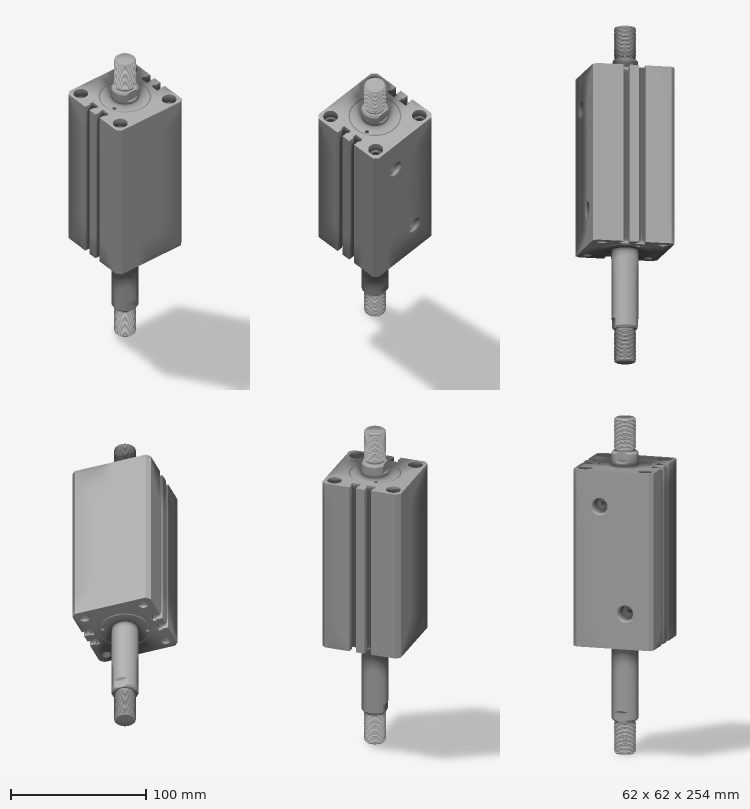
import cadquery as cq


housing_side = 62.0
housing_length = 134.0
corner_chamfer = 3.0
bore_radius = 19.0
bore_mouth_chamfer = 0.6

bolt_offset = 23.25
bolt_hole_diameter = 6.9
counterbore_diameter = 11.0
counterbore_depth = 7.0

slot_offset = 6.0
slot_neck_width = 5.0
slot_neck_depth = 4.8
slot_foot_width = 7.0
slot_depth = 8.0

port_side_offset = 10.0
port_end_distance = 27.0
port_mouth_radius = 6.5
port_chamfer = 0.7
port_start_radius = port_mouth_radius - port_chamfer
port_end_radius = 5.2
port_depth = 10.0
port_passage_diameter = 4.0

stroke = 50.0
gland_length = 24.0
gland_rim_chamfer = 0.6
spanner_hole_diameter = 3.0
spanner_hole_depth = 4.0
spanner_hole_radius = 16.6
spanner_hole_angle = 113.0

piston_length = housing_length - 2 * gland_length - stroke
piston_chamfer = 3.0
piston_bottom = gland_length
piston_middle = piston_bottom + piston_length / 2

rod_radius = 10.0
upper_rod_reach = 10.0
rod_length = housing_length + upper_rod_reach - piston_bottom - piston_length
shoulder_chamfer_radial = 1.3
shoulder_chamfer_height = 1.5
across_flats = 17.0
flat_length = 7.0

thread_radius = 8.0
thread_pitch = 1.0
thread_depth = 0.6
thread_crest = thread_pitch / 4
thread_root = thread_pitch / 8
thread_flank = (thread_pitch - thread_crest - thread_root) / 2
thread_root_radius = thread_radius - thread_depth
thread_end_length = 25.0
thread_turns = 22
thread_tip_chamfer = 1.0
undercut_radius = 7.1
thread_length = thread_turns * thread_pitch + thread_flank + thread_tip_chamfer
undercut_length = thread_end_length - thread_length


def slot_cutter(side):
    """T-slot running the full height in the +Y (side = 1) or -Y (side = -1) face."""
    face = side * housing_side / 2
    neck_end = face - side * slot_neck_depth
    foot_end = face - side * slot_depth
    neck = slot_neck_width / 2
    foot = slot_foot_width / 2
    outline = [
        (-neck, face),
        (-neck, neck_end),
        (-foot, neck_end),
        (-foot, foot_end),
        (foot, foot_end),
        (foot, neck_end),
        (neck, neck_end),
        (neck, face),
    ]
    return cq.Workplane("XY").polyline(outline).close().extrude(housing_length)


def port_cutter(y, z):
    """Tapered port with a chamfered mouth in the -X face and a passage into the bore."""
    profile = [
        (0, 0),
        (port_mouth_radius, 0),
        (port_start_radius, port_chamfer),
        (port_end_radius, port_depth),
        (0, port_depth),
    ]
    port_plane = cq.Plane(origin=(-housing_side / 2, y, z), xDir=(0, 0, 1), normal=(0, 1, 0))
    taper = cq.Workplane(port_plane).polyline(profile).close().revolve(360, (0, 0), (0, 1))
    passage_plane = cq.Plane(origin=(-housing_side / 2, y, z), xDir=(0, 1, 0), normal=(1, 0, 0))
    passage = cq.Workplane(passage_plane).circle(port_passage_diameter / 2).extrude(housing_side / 2)
    return taper.union(passage)


def make_housing():
    body = cq.Workplane("XY").rect(housing_side, housing_side).extrude(housing_length)
    body = body.edges("|Z").chamfer(corner_chamfer)
    body = (
        body.faces(">Z")
        .workplane()
        .rect(2 * bolt_offset, 2 * bolt_offset, forConstruction=True)
        .vertices()
        .cboreHole(bolt_hole_diameter, counterbore_diameter, counterbore_depth)
    )
    body = body.cut(cq.Workplane("XY").circle(bore_radius).extrude(housing_length))
    bore_rim = cq.selectors.RadiusNthSelector(-1)
    body = body.faces(">Z or <Z").edges(bore_rim).chamfer(bore_mouth_chamfer)
    for side in (-1, 1):
        for x in (-slot_offset, slot_offset):
            body = body.cut(slot_cutter(side).translate((x, 0, 0)))
    body = body.cut(port_cutter(-port_side_offset, port_end_distance))
    return body.cut(port_cutter(port_side_offset, housing_length - port_end_distance))


def make_gland():
    """Upper gland, its outer face flush with the top of the housing."""
    body = (
        cq.Workplane("XY")
        .workplane(offset=housing_length)
        .circle(bore_radius)
        .extrude(-gland_length)
        .faces(">Z")
        .chamfer(gland_rim_chamfer)
    )
    body = body.faces(">Z").workplane().circle(rod_radius).cutThruAll()
    return (
        body.faces(">Z")
        .workplane(origin=(0, 0, housing_length))
        .polarArray(spanner_hole_radius, spanner_hole_angle, 360, 2)
        .hole(spanner_hole_diameter, spanner_hole_depth)
    )


def make_piston():
    return (
        cq.Workplane("XY")
        .workplane(offset=piston_bottom)
        .circle(bore_radius)
        .extrude(piston_length)
        .edges()
        .chamfer(piston_chamfer)
    )


def rod_profile():
    """Half section of a rod as (radius, height) points; height 0 lies on the piston face."""
    tip = rod_length + thread_end_length
    thread_start = rod_length + undercut_length
    points = [
        (0, 0),
        (rod_radius, 0),
        (rod_radius, rod_length - shoulder_chamfer_height),
        (rod_radius - shoulder_chamfer_radial, rod_length),
        (undercut_radius, rod_length),
        (undercut_radius, thread_start),
    ]
    for turn in range(thread_turns):
        crest_start = thread_start + turn * thread_pitch
        crest_end = crest_start + thread_crest
        root_start = crest_end + thread_flank
        root_end = root_start + thread_root
        points += [
            (thread_radius, crest_start),
            (thread_radius, crest_end),
            (thread_root_radius, root_start),
            (thread_root_radius, root_end),
        ]
    points += [
        (thread_radius, tip - thread_tip_chamfer),
        (thread_radius - thread_tip_chamfer, tip),
        (0, tip),
    ]
    return points


def flat_cutter():
    """Wrench flat on the +X side that runs out of the rod at 45 degrees."""
    flat = across_flats / 2
    run_out = rod_radius - flat
    flat_end = rod_length - flat_length
    outline = [
        (flat, rod_length),
        (flat, flat_end),
        (flat + 2 * run_out, flat_end - 2 * run_out),
        (flat + 2 * run_out, rod_length),
    ]
    return cq.Workplane("XZ").polyline(outline).close().extrude(rod_radius, both=True)


def make_rod():
    """Upper rod, standing on the piston."""
    body = cq.Workplane("XZ").polyline(rod_profile()).close().revolve(360, (0, 0), (0, 1))
    for angle in (0, 180):
        body = body.cut(flat_cutter().rotate((0, 0, 0), (0, 0, 1), angle))
    return body.translate((0, 0, piston_bottom + piston_length))


housing = make_housing()
piston = make_piston()
glands = [make_gland(), make_gland().mirror("XY", (0, 0, housing_length / 2))]
rods = [make_rod(), make_rod().mirror("XY", (0, 0, piston_middle))]

result = cq.Compound.makeCompound(
    [housing.val(), piston.val()] + [body.val() for body in glands + rods]
)